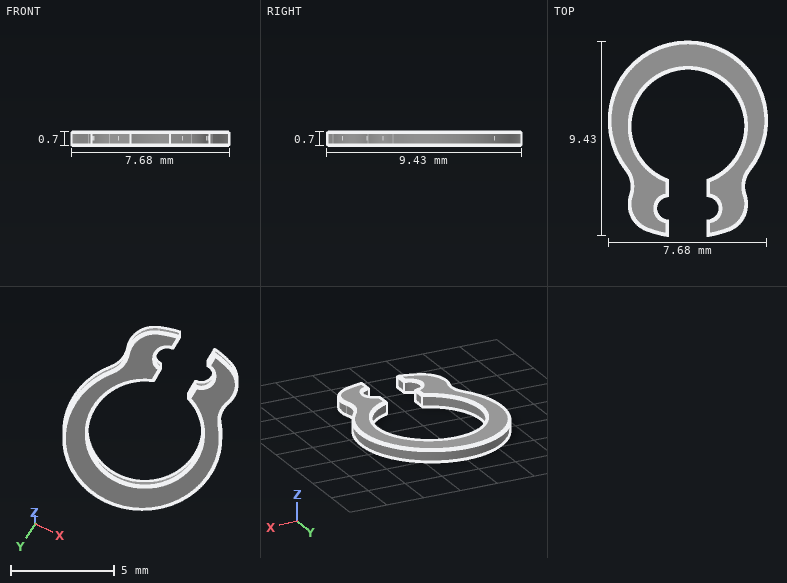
import cadquery as cq
import math

thickness = 0.7
edge_chamfer = 0.08

overall_length = 9.43
ring_radius = 3.84
bore_radius = 2.79
bore_center_y = -0.26
half_gap = 0.95

lug_radius = 1.36
neck_radius = 1.27
notch_radius = 0.59
notch_center_y = -4.25

tip_y = ring_radius - overall_length
lug_end_radius = math.hypot(half_gap, tip_y)
lug_half_width = 2.87


def polar(center, radius, angle):
    """Point at the given radius and angle (radians) from a center."""
    return (center[0] + radius * math.cos(angle), center[1] + radius * math.sin(angle))


def direction(start, end):
    """Angle of the line from start to end."""
    return math.atan2(end[1] - start[1], end[0] - start[0])


ring_center = (0.0, 0.0)

lug_center_distance = lug_end_radius - lug_radius
lug_center_x = lug_half_width - lug_radius
lug_center = (lug_center_x, -math.sqrt(lug_center_distance**2 - lug_center_x**2))
lug_angle = direction(ring_center, lug_center)

neck_to_ring = ring_radius + neck_radius
neck_to_lug = neck_radius + lug_radius
neck_offset_angle = math.acos(
    (neck_to_ring**2 + lug_center_distance**2 - neck_to_lug**2)
    / (2 * neck_to_ring * lug_center_distance)
)
neck_angle = lug_angle + neck_offset_angle
neck_center = polar(ring_center, neck_to_ring, neck_angle)

ring_end = polar(ring_center, ring_radius, neck_angle)
neck_end = polar(neck_center, neck_radius, direction(neck_center, lug_center))
lug_end = polar(ring_center, lug_end_radius, lug_angle)
tip = (half_gap, tip_y)

neck_middle = polar(neck_center, neck_radius, math.pi)
lug_middle = polar(lug_center, lug_radius, (direction(lug_center, neck_end) + lug_angle) / 2)
tip_middle = polar(ring_center, lug_end_radius, (lug_angle + direction(ring_center, tip)) / 2)

bore_end = (half_gap, bore_center_y - math.sqrt(bore_radius**2 - half_gap**2))


def mirrored(point):
    """The matching point on the other side of the YZ plane."""
    return (-point[0], point[1])


def ring_outline():
    """Closed outline, clockwise from the top of the left lug's neck."""
    return (
        cq.Workplane("XY")
        .workplane(offset=-thickness / 2)
        .moveTo(*mirrored(ring_end))
        .threePointArc((0, ring_radius), ring_end)
        .threePointArc(neck_middle, neck_end)
        .threePointArc(lug_middle, lug_end)
        .threePointArc(tip_middle, tip)
        .lineTo(half_gap, notch_center_y - notch_radius)
        .threePointArc(
            (half_gap + notch_radius, notch_center_y), (half_gap, notch_center_y + notch_radius)
        )
        .lineTo(*bore_end)
        .threePointArc((0, bore_center_y + bore_radius), mirrored(bore_end))
        .lineTo(-half_gap, notch_center_y + notch_radius)
        .threePointArc(
            (-half_gap - notch_radius, notch_center_y), (-half_gap, notch_center_y - notch_radius)
        )
        .lineTo(*mirrored(tip))
        .threePointArc(mirrored(tip_middle), mirrored(lug_end))
        .threePointArc(mirrored(lug_middle), mirrored(neck_end))
        .threePointArc(mirrored(neck_middle), mirrored(ring_end))
        .close()
    )


result = ring_outline().extrude(thickness).faces("|Z").edges().chamfer(edge_chamfer)